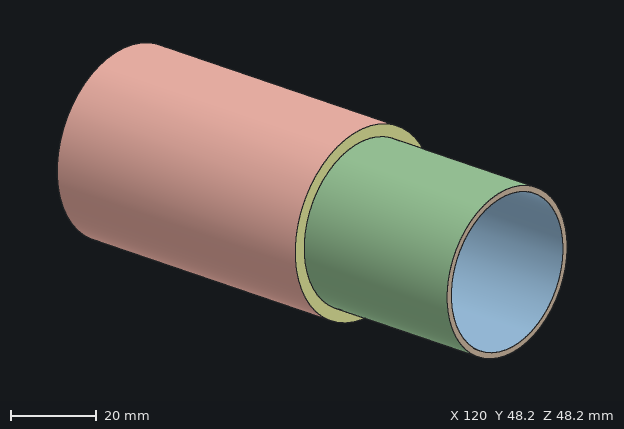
import cadquery as cq

total_length = 120.0
body_length = 75.0
body_diameter = 48.2
spigot_diameter = 42.0
bore_diameter = 39.0


def cylinder_along_x(diameter, length):
    """Solid cylinder on the X axis, starting at X = 0."""
    return cq.Workplane("YZ").circle(diameter / 2).extrude(length)


body = cylinder_along_x(body_diameter, body_length)
spigot = cylinder_along_x(spigot_diameter, total_length)

bore = cylinder_along_x(bore_diameter, total_length)

result = body.union(spigot).cut(bore)